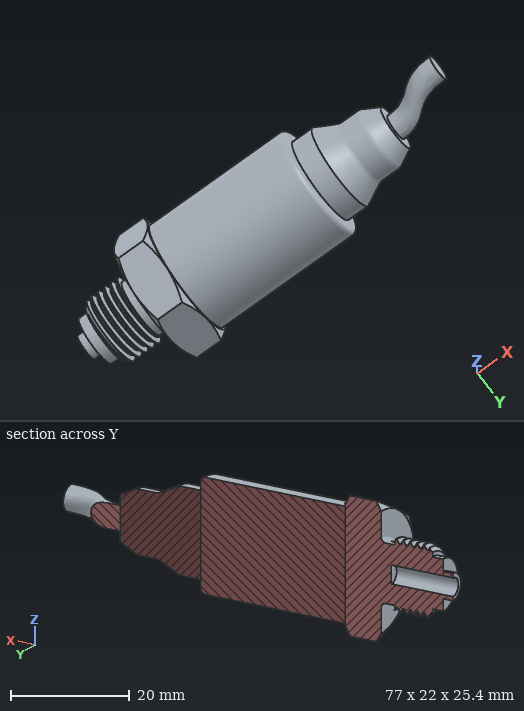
import cadquery as cq
import math


tip_x = -14.0
nozzle_length = 1.9
nozzle_diameter = 5.0
bore_diameter = 3.3
bore_depth = 12.0
pilot_length = 2.1
pilot_diameter = 9.5
thread_start_x = tip_x + nozzle_length + pilot_length
thread_length = 7.5
thread_end_x = thread_start_x + thread_length
neck_diameter = 11.0
neck_fillet = 0.8
hex_across_flats = 22.0
hex_across_corners = hex_across_flats / math.cos(math.radians(30))
hex_length = 7.1
hex_chamfer_angle = 30.0

thread_major = 13.157
thread_minor = 11.45
thread_pitch = 1.337
flank_angle = 30.0
crest_width = thread_pitch / 8
crest_at_top_x = -8.3
root_overlap = 0.1
trim_clearance = 0.5
core_overrun = 3 * thread_pitch

housing_diameter = 21.2
housing_end_x = 35.2
housing_fillet = 1.0

boot_base_diameter = 16.2
boot_base_length = 4.1
boot_cone_end_x = 43.45
boot_neck_diameter = 12.0
boot_taper_start_x = 47.6
boot_end_x = 50.9
boot_end_diameter = 8.5
boot_fillet = 1.0

cable_diameter = 4.8
cable_end_x = 62.97
cable_offset = 4.2
cable_start_pull = 5.9
cable_end_pull = 7.8


def cylinder(start_x, end_x, diameter):
    return cq.Workplane("YZ", origin=(start_x, 0, 0)).circle(diameter / 2).extrude(end_x - start_x)


def revolve_about_x(points):
    return cq.Workplane("XY").polyline(points).close().revolve(360, (0, 0, 0), (1, 0, 0))


def make_hexagon():
    """Hexagon with corners up and down, both ends turned to a cone that just meets the flats."""
    prism = cq.Workplane("YZ").transformed(rotate=(0, 0, 90)).polygon(6, hex_across_corners).extrude(hex_length)
    face_radius = hex_across_flats / 2
    corner_radius = hex_across_corners / 2
    chamfer = (corner_radius - face_radius) * math.tan(math.radians(hex_chamfer_angle))
    turned = revolve_about_x([
        (0, 0),
        (0, face_radius),
        (chamfer, corner_radius),
        (hex_length - chamfer, corner_radius),
        (hex_length, face_radius),
        (hex_length, 0),
    ])
    return prism.intersect(turned)


def make_thread():
    """Core with a right-handed helical ridge, trimmed to length and chamfered at the pilot end."""
    crest_radius = thread_major / 2
    root_radius = thread_minor / 2
    base_radius = root_radius - root_overlap
    crest_half_width = crest_width / 2
    base_half_width = crest_half_width + (crest_radius - base_radius) * math.tan(math.radians(flank_angle))

    lead_turns = math.ceil((crest_at_top_x - thread_start_x) / thread_pitch) + 1
    ridge_start_x = crest_at_top_x - lead_turns * thread_pitch
    ridge_length = thread_end_x + thread_pitch - ridge_start_x
    helix = cq.Wire.makeHelix(thread_pitch, ridge_length, root_radius)
    ridge = (
        cq.Workplane("XZ")
        .polyline([
            (base_radius, -base_half_width),
            (crest_radius, -crest_half_width),
            (crest_radius, crest_half_width),
            (base_radius, base_half_width),
        ])
        .close()
        .sweep(cq.Workplane(helix), isFrenet=True)
        .rotate((0, 0, 0), (0, 1, 0), 90)
        .rotate((0, 0, 0), (1, 0, 0), 180)
        .translate((ridge_start_x, 0, 0))
    )
    neck_radius = neck_diameter / 2
    trim_radius = crest_radius + trim_clearance
    trim = revolve_about_x([
        (thread_start_x, 0),
        (thread_start_x, neck_radius),
        (thread_start_x + trim_radius - neck_radius, trim_radius),
        (thread_end_x, trim_radius),
        (thread_end_x, 0),
    ])
    core = cylinder(thread_start_x - core_overrun, thread_end_x + core_overrun, thread_minor)
    return core.union(ridge, clean=False).intersect(trim, clean=False)


def make_neck():
    """Plain neck behind the thread, filleted onto the hexagon face."""
    radius = neck_diameter / 2
    return (
        cq.Workplane("XY")
        .moveTo(thread_end_x, 0)
        .lineTo(thread_end_x, radius)
        .lineTo(-neck_fillet, radius)
        .radiusArc((0, radius + neck_fillet), -neck_fillet)
        .lineTo(0, 0)
        .close()
        .revolve(360, (0, 0, 0), (1, 0, 0))
    )


def make_fitting():
    nozzle = cylinder(tip_x, tip_x + nozzle_length, nozzle_diameter)
    pilot = cylinder(tip_x + nozzle_length, thread_start_x, pilot_diameter)
    bore = cylinder(tip_x, tip_x + bore_depth, bore_diameter)
    body = make_hexagon().union(make_neck()).union(make_thread()).union(pilot).union(nozzle)
    return body.cut(bore)


def make_housing():
    return cylinder(hex_length, housing_end_x, housing_diameter).faces(">X").edges().fillet(housing_fillet)


def make_boot():
    """Strain relief stepping down in two tapers, blended at both ends of its narrow neck."""
    neck_radius = boot_neck_diameter / 2
    cone_start_x = housing_end_x + boot_base_length
    boot = revolve_about_x([
        (housing_end_x, 0),
        (housing_end_x, boot_base_diameter / 2),
        (cone_start_x, boot_base_diameter / 2),
        (boot_cone_end_x, neck_radius),
        (boot_taper_start_x, neck_radius),
        (boot_end_x, boot_end_diameter / 2),
        (boot_end_x, 0),
    ])
    neck_edges = boot.edges(cq.selectors.RadiusNthSelector(1))
    return neck_edges.fillet(boot_fillet)


def make_cable():
    """Round cable that leaves the boot along the axis and sweeps sideways in a smooth S."""
    path = cq.Workplane("XY").bezier([
        (boot_end_x, 0),
        (boot_end_x + cable_start_pull, 0),
        (cable_end_x - cable_end_pull, -cable_offset),
        (cable_end_x, -cable_offset),
    ])
    return cq.Workplane("YZ", origin=(boot_end_x, 0, 0)).circle(cable_diameter / 2).sweep(path, normal=(1, 0, 0))


fitting = make_fitting()
housing = make_housing()
boot = make_boot()
cable = make_cable()

result = cq.Compound.makeCompound([body.solids().val() for body in (fitting, housing, boot, cable)])